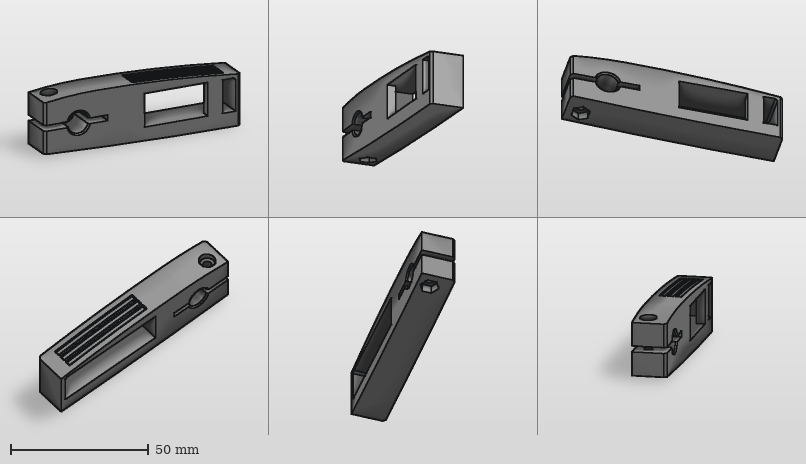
import cadquery as cq
import math

width = 13.0
length = 80.0
height = 23.4

crest_y = 20.8
rear_top_z = 20.1
front_top_z = 21.9
front_bottom_z = 1.9
corner_chamfer = 1.0

window_front_y = 34.8
window_rear_y = 78.0
window_bottom_z = 5.8
window_top_z = 18.9
window_chamfer = 0.9
stop_face_x = 9.6
stop_length = 6.1
rear_stop_y = 66.6

bore_y = 14.0
bore_z = 12.0
bore_diameter = 8.4
bore_chamfer = 0.6
slit_end_y = 25.9
slit_height = 2.2

screw_x = 5.0
screw_y = 5.8
screw_diameter = 3.2
head_diameter = 6.2
head_seat_z = 20.0
nut_corner_diameter = 7.0
nut_seat_z = 4.8

groove_count = 3
groove_pitch = 3.0
groove_width = 2.2
groove_depth = 0.36
groove_front_y = 37.0
groove_rear_y = 74.0

rear_run = length - crest_y
rear_drop = height - rear_top_z
top_radius = (rear_run**2 + rear_drop**2) / (2 * rear_drop)
top_center_z = height - top_radius


def top_z(y):
    """Height of the rear part of the top surface."""
    return top_center_z + math.sqrt(top_radius**2 - (y - crest_y) ** 2)


def box(x_range, y_range, z_range):
    """Box between the given limits."""
    (x0, x1), (y0, y1), (z0, z1) = x_range, y_range, z_range
    return cq.Workplane("XY").box(x1 - x0, y1 - y0, z1 - z0, centered=False).translate((x0, y0, z0))


def make_body():
    """Solid arm; an arc that starts level has a quarter of its drop at half its run."""
    front_mid_z = height - (height - front_top_z) / 4
    rear_mid_y = (crest_y + length) / 2
    bottom_mid_z = front_bottom_z / 4
    side = (
        cq.Workplane("YZ")
        .moveTo(0, front_bottom_z)
        .lineTo(0, front_top_z)
        .threePointArc((crest_y / 2, front_mid_z), (crest_y, height))
        .threePointArc((rear_mid_y, top_z(rear_mid_y)), (length, rear_top_z))
        .lineTo(length, 0)
        .threePointArc((length / 2, bottom_mid_z), (0, front_bottom_z))
        .close()
        .extrude(width)
    )
    plan = cq.Workplane("XY").rect(width, length, centered=False).extrude(height)
    return side.intersect(plan.edges("|Z and >X").chamfer(corner_chamfer))


def make_window():
    """Through opening, less the two stops."""
    y_range = (window_front_y, window_rear_y)
    z_range = (window_bottom_z, window_top_z)
    window = box((0, width), y_range, z_range)
    window = window.edges("|X and >Y and >Z").chamfer(window_chamfer)
    for stop_y in (window_front_y, rear_stop_y):
        window = window.cut(box((stop_face_x, width), (stop_y, stop_y + stop_length), z_range))
    return window


def make_clamp():
    """Bore chamfered at both mouths, and the slit through it."""
    mouth_radius = bore_diameter / 2 + bore_chamfer
    bore = cq.Workplane("YZ").center(bore_y, bore_z).circle(bore_diameter / 2).extrude(width)
    for x, direction in ((0, 1), (width, -1)):
        mouth = cq.Solid.makeCone(
            mouth_radius,
            bore_diameter / 2,
            bore_chamfer,
            cq.Vector(x, bore_y, bore_z),
            cq.Vector(direction, 0, 0),
        )
        bore = bore.union(cq.Workplane(mouth))
    slit_z = (bore_z - slit_height / 2, bore_z + slit_height / 2)
    return bore.union(box((0, width), (0, slit_end_y), slit_z))


def make_screw_hole():
    """Vertical hole with a round head recess on top and a hexagonal nut recess below."""
    axis = cq.Workplane("XY").center(screw_x, screw_y)
    hole = axis.circle(screw_diameter / 2).extrude(height)
    nut = axis.polygon(6, nut_corner_diameter).extrude(nut_seat_z)
    head = axis.workplane(offset=head_seat_z).circle(head_diameter / 2).extrude(height - head_seat_z)
    return hole.union(nut).union(head)


def make_groove(center_x):
    """Groove with 45 degree walls and ends, whose floor follows the top arc."""
    half_top = groove_width / 2
    half_floor = half_top - groove_depth
    ring = (
        cq.Workplane("XZ", origin=(center_x, crest_y, 0))
        .polyline(
            [
                (-half_floor, height - groove_depth),
                (half_floor, height - groove_depth),
                (half_top, height),
                (-half_top, height),
            ]
        )
        .close()
        .revolve(360, (0, top_center_z), (1, top_center_z))
    )
    front_z = top_z(groove_front_y)
    rear_z = top_z(groove_rear_y)
    ends = (
        cq.Workplane("YZ")
        .moveTo(groove_front_y, front_z)
        .lineTo(groove_front_y + groove_depth, front_z - groove_depth)
        .lineTo(groove_rear_y - groove_depth, rear_z - groove_depth)
        .lineTo(groove_rear_y, rear_z)
        .lineTo(groove_rear_y, height)
        .lineTo(groove_front_y, height)
        .close()
        .extrude(width)
    )
    return ring.intersect(ends)


result = make_body().cut(make_window()).cut(make_clamp()).cut(make_screw_hole())
for index in range(groove_count):
    offset = (index - (groove_count - 1) / 2) * groove_pitch
    result = result.cut(make_groove(width / 2 + offset))